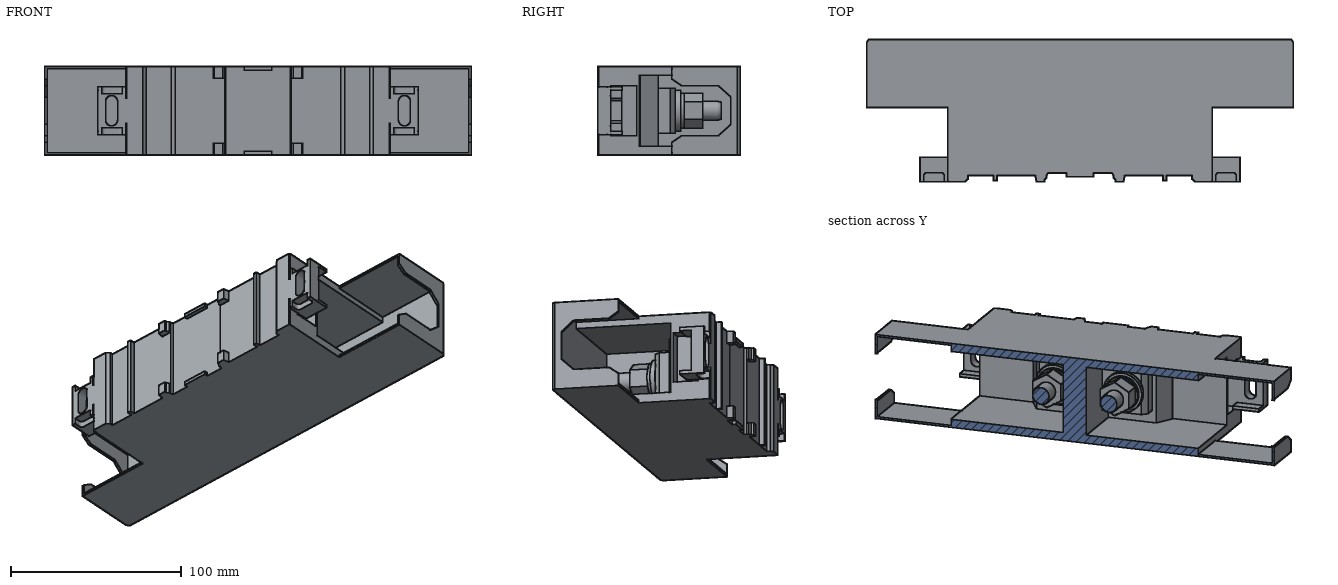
import cadquery as cq
import math

length = 250.0
depth = 83.5
height = 52.0
back_y = depth / 2
front_y = -depth / 2
half_length = length / 2
half_height = height / 2
body_half_length = 77.5
wing_front_y = 1.8

wing_wall = 1.5
hollow_back_y = 39.8
end_plate = 1.5
end_chamfer_x = 1.2
end_chamfer_y = 1.8
mouth_half_height = 18.5
throat_half_height = 14.8
throat_y = 7.2
taper_y = 28.8
mouth_back_y = 36.2
mouth_back_half_height = 8.0

chamber_half_height = 20.8
chamber_front_y = -17.5
chamber_wall_x = 7.5
shelf_y = -6.2
shelf_edge_x = 37.5
riser = 0.8
ramp_angle = 30.0

block_half_height = 13.2
block_top_y = 3.8
block_outer_x = 35.0
block_bevel = 3.0
stud_x = 21.2
flat_washer = (12.0, 3.0)
spring_washer = (10.2, 2.2)
nut_sides = 6
nut_corner_radius = 10.2
nut_thickness = 10.8
stud_radius = 5.5
stud_tip_y = 30.5
stud_chamfer_radius = 0.5
stud_chamfer_length = 1.8

panel_y = -38.0
center_panel_y = -36.5
pad_inner_x = 67.5
pad_foot_x = 65.5
pad_break_x = 66.8
pad_break_y = -41.0
pad_foot_y = -40.0
center_half_width = 18.8
center_slope = 0.8
rib_inner_x = 48.5
rib_width = 2.2
rib_front_y = -41.0
foot_outer_x = 26.2
foot_draft = 0.8
foot_inner_x = 20.8
foot_height = 7.0
foot_cheek_y = -40.5
foot_root_y = -39.2
tongue_half_width = 8.0
tongue_y = -38.8
tongue_height = 2.2
corner_chamfer = 0.8

ear_outer_x = 93.8
ear_half_height = 14.0
ear_back_y = -27.2
ear_web_back_y = -34.2
ear_flange = 2.0
ear_neck_half_height = 7.2
slot_x = 85.8
slot_width = 7.0
slot_length = 17.8
recess_outer_x = 91.5
recess_inner_x = 79.5
recess_depth_y = 5.5
recess_depth_z = 4.0
recess_corner = 2.0

pocket_depth = 10.0
pocket_half_height = 14.8
pocket_back_y = -19.0
step_thickness = 0.8
step_back_y = -27.8
notch_depth = 1.5


def box(x0, x1, y0, y1, z0, z1):
    """Axis-aligned box between two corners."""
    return cq.Workplane("XY").box(x1 - x0, y1 - y0, z1 - z0, centered=False).translate((x0, y0, z0))


def prism(points, z0, z1):
    """Outline in X and Y, extruded along Z."""
    return cq.Workplane("XY").workplane(offset=z0).polyline(points).close().extrude(z1 - z0)


def rod(x, y0, radius, thickness):
    """Cylinder along +Y, centred on Z = 0."""
    return cq.Workplane("XZ", origin=(x, y0, 0)).circle(radius).extrude(-thickness)


def both_ends(shape):
    """The shape together with its mirror image at the opposite X end."""
    return shape.union(shape.mirror("YZ"))


def housing():
    """Solid envelope with the stepped relief of the front face."""
    right_side = [
        (center_half_width, center_panel_y),
        (center_half_width + center_slope, panel_y),
        (pad_foot_x, panel_y),
        (pad_foot_x, pad_foot_y),
        (pad_break_x, pad_break_y),
        (pad_inner_x, front_y),
        (body_half_length, front_y),
        (body_half_length, wing_front_y),
        (half_length, wing_front_y),
        (half_length, back_y - end_chamfer_y),
        (half_length - end_chamfer_x, back_y),
    ]
    left_side = [(-x, y) for x, y in reversed(right_side)]
    return prism(right_side + left_side, -half_height, half_height)


def front_ribs():
    return both_ends(box(-rib_inner_x - rib_width, -rib_inner_x, rib_front_y, panel_y,
                         -half_height, half_height))


def front_feet_and_tongues():
    """Short projections along the upper and lower edges of the front face."""
    foot_outline = [
        (-foot_outer_x, panel_y),
        (-foot_outer_x + foot_draft, front_y),
        (-foot_inner_x, front_y),
        (-foot_inner_x, foot_cheek_y),
        (-center_half_width - center_slope, foot_root_y),
        (-center_half_width - center_slope, panel_y),
    ]
    foot = prism(foot_outline, half_height - foot_height, half_height)
    tongue = box(-tongue_half_width, tongue_half_width, tongue_y, center_panel_y,
                 half_height - tongue_height, half_height)
    upper = both_ends(foot).union(tongue)
    return upper.union(upper.mirror("XY"))


def wing_cavity():
    """Hollow of the left wing, open at the front."""
    inner_half_height = half_height - wing_wall
    return box(-half_length + end_plate, -body_half_length, wing_front_y, hollow_back_y,
               -inner_half_height, inner_half_height)


def end_plate_mouth():
    """Tapered cable opening through the left end plate."""
    upper = [
        (wing_front_y, mouth_half_height),
        (throat_y, throat_half_height),
        (taper_y, throat_half_height),
        (mouth_back_y, mouth_back_half_height),
    ]
    lower = [(y, -z) for y, z in reversed(upper)]
    return cq.Workplane("YZ", origin=(-half_length, 0, 0)).polyline(upper + lower).close().extrude(end_plate)


def terminal_chamber():
    """Left chamber with a ramp that climbs to the terminal shelf."""
    ramp_start_y = chamber_front_y + riser
    ramp_start_x = shelf_edge_x + (shelf_y - ramp_start_y) * math.tan(math.radians(ramp_angle))
    outline = [
        (-body_half_length, hollow_back_y),
        (-body_half_length, chamber_front_y),
        (-ramp_start_x, chamber_front_y),
        (-ramp_start_x, ramp_start_y),
        (-shelf_edge_x, shelf_y),
        (-chamber_wall_x, shelf_y),
        (-chamber_wall_x, hollow_back_y),
    ]
    return prism(outline, -chamber_half_height, chamber_half_height)


def terminal():
    """Left terminal block with its washers, nut and stud."""
    block_outline = [
        (-block_outer_x, shelf_y),
        (-block_outer_x, block_top_y - block_bevel),
        (-block_outer_x + block_bevel, block_top_y),
        (-chamber_wall_x, block_top_y),
        (-chamber_wall_x, shelf_y),
    ]
    part = prism(block_outline, -block_half_height, block_half_height)

    y = block_top_y
    for radius, thickness in (flat_washer, spring_washer):
        part = part.union(rod(-stud_x, y, radius, thickness))
        y += thickness

    half_side_angle = 180 / nut_sides
    nut = cq.Workplane("XZ", origin=(-stud_x, y, 0)).polygon(nut_sides, 2 * nut_corner_radius)
    nut = nut.extrude(-nut_thickness).rotate((-stud_x, 0, 0), (-stud_x, 1, 0), half_side_angle)

    stud = rod(-stud_x, block_top_y, stud_radius, stud_tip_y - block_top_y)
    stud = stud.faces(">Y").chamfer(stud_chamfer_length, stud_chamfer_radius)
    return part.union(nut).union(stud)


def end_pocket():
    """Pocket in the left body end, with a raised step on its floor and a tapered notch in the step."""
    floor_x = -body_half_length + pocket_depth
    step_x = floor_x - step_thickness
    pocket = box(-body_half_length, floor_x, ear_web_back_y, pocket_back_y,
                 -pocket_half_height, pocket_half_height)
    step = box(step_x, floor_x, ear_web_back_y, step_back_y, -pocket_half_height, pocket_half_height)
    notch_floor_x = step_x + notch_depth
    notch_floor_half = ear_neck_half_height - notch_depth
    notch = (
        cq.Workplane("XZ", origin=(0, step_back_y, 0))
        .polyline([
            (step_x, ear_neck_half_height),
            (notch_floor_x, notch_floor_half),
            (notch_floor_x, -notch_floor_half),
            (step_x, -ear_neck_half_height),
        ])
        .close()
        .extrude(step_back_y - ear_web_back_y)
    )
    return pocket.cut(step).union(notch)


def body_corner_chamfer():
    """Chamfer of the left front body corner above and below the ear neck."""
    wedge_outline = [
        (-body_half_length, front_y),
        (-body_half_length + corner_chamfer, front_y),
        (-body_half_length, front_y + corner_chamfer),
    ]
    upper = prism(wedge_outline, ear_neck_half_height, half_height)
    return upper.union(upper.mirror("XY"))


def ear():
    """Left channel-shaped mounting ear with a slot and two rounded recesses."""
    part = box(-ear_outer_x, -body_half_length, front_y, ear_back_y, -ear_half_height, ear_half_height)
    inner_half_height = ear_half_height - ear_flange
    part = part.cut(box(-ear_outer_x, -body_half_length, ear_web_back_y, ear_back_y,
                        -inner_half_height, inner_half_height))

    slot = cq.Workplane("XZ", origin=(-slot_x, front_y, 0)).slot2D(slot_length, slot_width, 90)
    part = part.cut(slot.extrude(front_y - ear_web_back_y))

    recess = box(-recess_outer_x, -recess_inner_x, front_y, front_y + recess_depth_y,
                 ear_half_height - recess_depth_z, ear_half_height)
    recess = recess.edges("|Z and >Y").fillet(recess_corner)
    return part.cut(recess).cut(recess.mirror("XY"))


result = housing().union(front_ribs()).union(front_feet_and_tongues())
for hollow in (wing_cavity(), end_plate_mouth(), terminal_chamber(), end_pocket(), body_corner_chamfer()):
    result = result.cut(both_ends(hollow))
for addition in (terminal(), ear()):
    result = result.union(both_ends(addition))